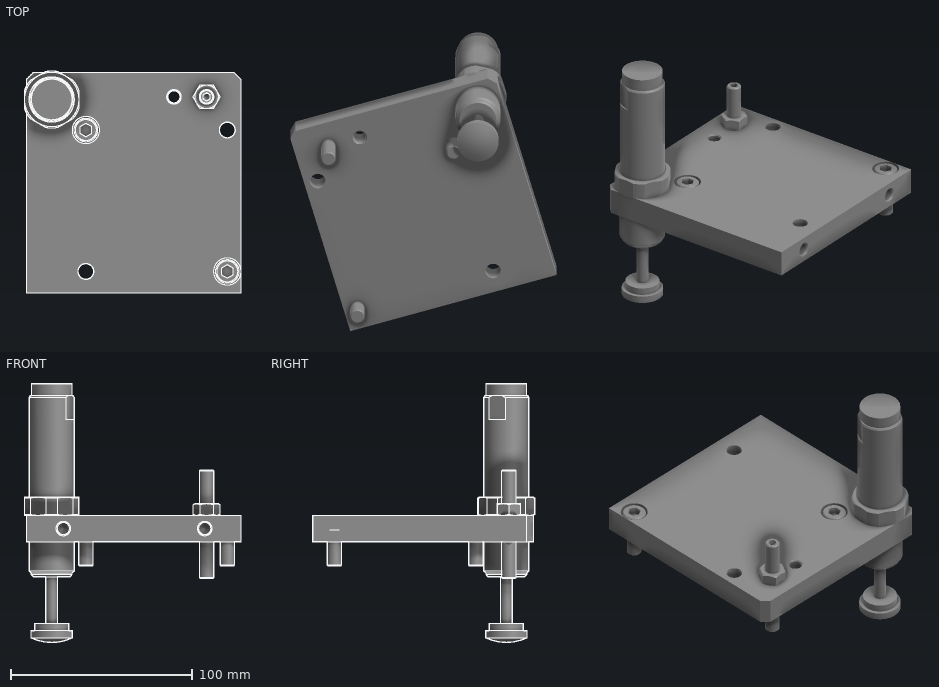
import cadquery as cq
import math


plate_width = 118.5
plate_depth = 122.0
plate_thickness = 14.6
corner_chamfer = 4.0
clearance_diameter = 8.6
screw_spacing = 78.1
screw_edge_right = 7.6
screw_edge_front = 12.0
screw_x_right = plate_width - screw_edge_right
screw_x_left = screw_x_right - screw_spacing
screw_y_front = screw_edge_front
screw_y_back = screw_y_front + screw_spacing
screw_points = [(screw_x_left, screw_y_back), (screw_x_right, screw_y_front)]
free_hole_points = [(screw_x_left, screw_y_front), (screw_x_right, screw_y_back)]

thread_diameter = 8.0
thread_end_chamfer = 0.6
tap_diameter = 6.7
tap_chamfer = (thread_diameter - tap_diameter) / 2
drill_point_angle = 118

side_hole_depth = 20
side_hole_left_x = 20.5
side_hole_xs = [side_hole_left_x, side_hole_left_x + screw_spacing]

head_diameter = 13.0
head_height = 8.0
head_chamfer = 0.7
counterbore_diameter = 15.0
screw_length = 28.0
screw_socket_flats = 6.5
screw_socket_depth = 4.0

stud_edge_right = 19.0
stud_edge_back = 13.6
stud_x = plate_width - stud_edge_right
stud_y = plate_depth - stud_edge_back
stud_length = 60.0
stud_top = 25.2
stud_socket_flats = 4.0
stud_socket_depth = 5.0
stud_nut_flats = 13.0
stud_nut_height = 6.5
tapped_hole_spacing = 18.0
tapped_hole_x = stud_x - tapped_hole_spacing

shock_x = 14.0
shock_edge_back = 15.0
shock_y = plate_depth - shock_edge_back
shock_radius = 12.51
shock_top = 72.8
button_radius = 11.23
button_height = 6.7
shoulder_z = shock_top - button_height
shoulder_radius = 11.9
shoulder_chamfer_height = 1.0
shock_bottom = -33.9
lower_chamfer_start = -30.7
lower_chamfer_end = -31.7
lower_chamfer_radius = 11.3
lower_rim_start = -32.7
shock_bottom_radius = 10.2
wrench_flats = 22.9
wrench_flat_length = 13.2
wrench_flat_angle = 153.5

shock_nut_flats = 30.0
shock_nut_diameter = 31.6
shock_nut_height = 10.0

rod_radius = 3.3
rod_insertion = 7.2
plunger_collar_radius = 9.5
plunger_disc_radius = 11.5
plunger_collar_top = -59.6
plunger_disc_top = -63.6
plunger_disc_bottom = -67.6
plunger_tip = -70.2

nut_bevel_slope = math.tan(math.radians(30))
hex_corner_ratio = 1 / math.cos(math.radians(30))
corners_along_x = 0
corners_along_y = 90


def cylinder(x, y, bottom, top, diameter):
    """Upright cylinder centred on (x, y) between two heights."""
    return cq.Workplane("XY", origin=(x, y, bottom)).circle(diameter / 2).extrude(top - bottom)


def drill_point_height(diameter):
    """Height of the cone that a drill leaves at the bottom of a hole."""
    return diameter / 2 / math.tan(math.radians(drill_point_angle / 2))


def hex_prism(x, y, bottom, height, flats, turn):
    """Upright hexagonal prism, turned about its axis from having two corners along X."""
    return (
        cq.Workplane("XY")
        .polygon(6, flats * hex_corner_ratio)
        .extrude(height)
        .rotate((0, 0, 0), (0, 0, 1), turn)
        .translate((x, y, bottom))
    )


def make_nut(x, y, height, flats, outer_diameter, bore_diameter, turn):
    """Hexagon nut on the plate, its corners trimmed to a disc that is bevelled on both faces."""
    outer_radius = outer_diameter / 2
    face_radius = flats / 2
    bevel_height = (outer_radius - face_radius) * nut_bevel_slope
    bevelled_disc = (
        cq.Workplane("XZ")
        .polyline([
            (0, 0),
            (face_radius, 0),
            (outer_radius, bevel_height),
            (outer_radius, height - bevel_height),
            (face_radius, height),
            (0, height),
        ])
        .close()
        .revolve(360, (0, 0), (0, 1))
        .translate((x, y, 0))
    )
    nut = hex_prism(x, y, 0, height, flats, turn).intersect(bevelled_disc)
    return nut.cut(cylinder(x, y, 0, height, bore_diameter))


def make_side_hole(x):
    """Tapped hole running from the front face into the plate, with a chamfered mouth and a drill point."""
    tap_radius = tap_diameter / 2
    tip_depth = side_hole_depth + drill_point_height(tap_diameter)
    return (
        cq.Workplane("XY")
        .polyline([
            (0, 0),
            (tap_radius + tap_chamfer, 0),
            (tap_radius, tap_chamfer),
            (tap_radius, side_hole_depth),
            (0, tip_depth),
        ])
        .close()
        .revolve(360, (0, 0), (0, 1))
        .translate((x, 0, -plate_thickness / 2))
    )


def make_tapped_through_hole():
    """Tapped hole through the plate next to the stud, chamfered at both mouths."""
    hole = cylinder(tapped_hole_x, stud_y, -plate_thickness, 0, tap_diameter)
    for mouth_z, direction in ((0, -1), (-plate_thickness, 1)):
        mouth = cq.Solid.makeCone(
            tap_diameter / 2 + tap_chamfer,
            tap_diameter / 2,
            tap_chamfer,
            pnt=cq.Vector(tapped_hole_x, stud_y, mouth_z),
            dir=cq.Vector(0, 0, direction),
        )
        hole = hole.union(cq.Workplane(mouth))
    return hole


def make_plate():
    plate = (
        cq.Workplane("XY", origin=(0, 0, -plate_thickness))
        .rect(plate_width, plate_depth, centered=False)
        .extrude(plate_thickness)
        .edges("|Z and >Y")
        .chamfer(corner_chamfer)
    )
    for x, y in free_hole_points:
        plate = plate.cut(cylinder(x, y, -plate_thickness, 0, clearance_diameter))
    for x, y in screw_points:
        plate = plate.cut(cylinder(x, y, -plate_thickness, 0, thread_diameter))
        plate = plate.cut(cylinder(x, y, -head_height, 0, counterbore_diameter))
    for x in side_hole_xs:
        plate = plate.cut(make_side_hole(x))
    plate = plate.cut(make_tapped_through_hole())
    plate = plate.cut(cylinder(stud_x, stud_y, -plate_thickness, 0, thread_diameter))
    return plate.cut(cylinder(shock_x, shock_y, -plate_thickness, 0, 2 * shock_radius))


def make_cap_screw(x, y):
    """Socket head cap screw, its head flush with the top of the plate."""
    shank = cylinder(x, y, -screw_length, -head_height, thread_diameter)
    shank = shank.faces("<Z").chamfer(thread_end_chamfer)
    head = cylinder(x, y, -head_height, 0, head_diameter).faces(">Z").chamfer(head_chamfer)
    socket = hex_prism(x, y, -screw_socket_depth, screw_socket_depth, screw_socket_flats, corners_along_y)
    return head.union(shank).cut(socket)


def make_stud():
    """Set screw with a hexagon socket that ends in a drill point."""
    stud = cylinder(stud_x, stud_y, stud_top - stud_length, stud_top, thread_diameter)
    stud = stud.faces("<Z or >Z").chamfer(thread_end_chamfer)
    socket_floor = stud_top - stud_socket_depth
    socket = hex_prism(stud_x, stud_y, socket_floor, stud_socket_depth, stud_socket_flats, corners_along_y)
    drill_point = cq.Solid.makeCone(
        stud_socket_flats / 2,
        0,
        drill_point_height(stud_socket_flats),
        pnt=cq.Vector(stud_x, stud_y, socket_floor),
        dir=cq.Vector(0, 0, -1),
    )
    return stud.cut(socket).cut(cq.Workplane(drill_point))


def make_shock_body():
    """Threaded shock absorber housing with two wrench flats and a bore for the plunger rod."""
    body = (
        cq.Workplane("XZ")
        .polyline([
            (0, shock_bottom),
            (shock_bottom_radius, shock_bottom),
            (lower_chamfer_radius, lower_rim_start),
            (lower_chamfer_radius, lower_chamfer_end),
            (shock_radius, lower_chamfer_start),
            (shock_radius, shoulder_z - shoulder_chamfer_height),
            (shoulder_radius, shoulder_z),
            (button_radius, shoulder_z),
            (button_radius, shock_top),
            (0, shock_top),
        ])
        .close()
        .revolve(360, (0, 0), (0, 1))
    )
    flats_start = cq.Workplane("XY", origin=(0, 0, shoulder_z - wrench_flat_length))
    kept_between_flats = flats_start.rect(wrench_flats, 4 * shock_radius).extrude(wrench_flat_length)
    beyond_flats = (
        flats_start.circle(2 * shock_radius)
        .extrude(wrench_flat_length)
        .cut(kept_between_flats)
        .rotate((0, 0, 0), (0, 0, 1), wrench_flat_angle)
    )
    rod_bore = cylinder(0, 0, shock_bottom, shock_bottom + rod_insertion, 2 * rod_radius)
    return body.cut(beyond_flats).cut(rod_bore).translate((shock_x, shock_y, 0))


def make_plunger():
    """Rod with a stepped pressure pad whose underside is a shallow dome."""
    dome_height = plunger_disc_bottom - plunger_tip
    dome_radius = (plunger_disc_radius**2 + dome_height**2) / (2 * dome_height)
    half_angle = math.asin(plunger_disc_radius / dome_radius) / 2
    dome_middle = (
        dome_radius * math.sin(half_angle),
        plunger_tip + dome_radius * (1 - math.cos(half_angle)),
    )
    return (
        cq.Workplane("XZ")
        .moveTo(0, plunger_tip)
        .threePointArc(dome_middle, (plunger_disc_radius, plunger_disc_bottom))
        .lineTo(plunger_disc_radius, plunger_disc_top)
        .lineTo(plunger_collar_radius, plunger_disc_top)
        .lineTo(plunger_collar_radius, plunger_collar_top)
        .lineTo(rod_radius, plunger_collar_top)
        .lineTo(rod_radius, shock_bottom + rod_insertion)
        .lineTo(0, shock_bottom + rod_insertion)
        .close()
        .revolve(360, (0, 0), (0, 1))
        .translate((shock_x, shock_y, 0))
    )


plate = make_plate()
cap_screws = [make_cap_screw(x, y) for x, y in screw_points]
stud = make_stud()
stud_nut = make_nut(
    stud_x,
    stud_y,
    stud_nut_height,
    stud_nut_flats,
    stud_nut_flats * hex_corner_ratio,
    thread_diameter,
    corners_along_x,
)
shock_body = make_shock_body()
shock_nut = make_nut(
    shock_x,
    shock_y,
    shock_nut_height,
    shock_nut_flats,
    shock_nut_diameter,
    2 * shock_radius,
    corners_along_y,
)
plunger = make_plunger()

result = cq.Compound.makeCompound([
    plate.val(),
    *[screw.val() for screw in cap_screws],
    stud.val(),
    stud_nut.val(),
    shock_body.val(),
    shock_nut.val(),
    plunger.val(),
])